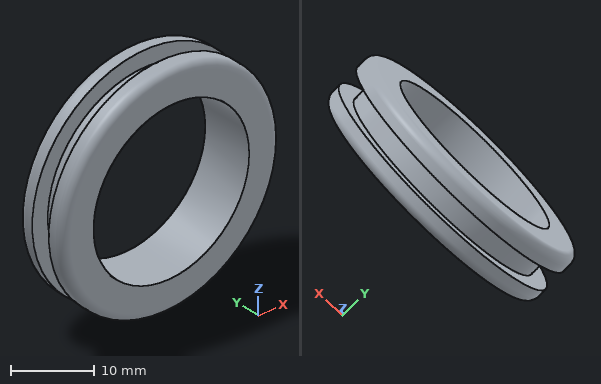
import cadquery as cq

outer_diameter = 35.0
groove_diameter = 30.0
bore_diameter = 25.0
width = 8.0
groove_width = 3.0
rim_fillet = 1.22

flange_width = (width - groove_width) / 2


def disc(diameter, length, start_y):
    """Solid disc along +Y, beginning at start_y."""
    plane = cq.Workplane("XZ", origin=(0, start_y, 0))
    return plane.circle(diameter / 2).extrude(-length)


front_flange = disc(outer_diameter, flange_width, -width / 2).faces("<Y").edges().fillet(rim_fillet)
back_flange = front_flange.mirror("XZ")

hub = disc(groove_diameter, width - 2 * rim_fillet, -width / 2 + rim_fillet)

bore = disc(bore_diameter, width, -width / 2)

result = hub.union(front_flange).union(back_flange).cut(bore)